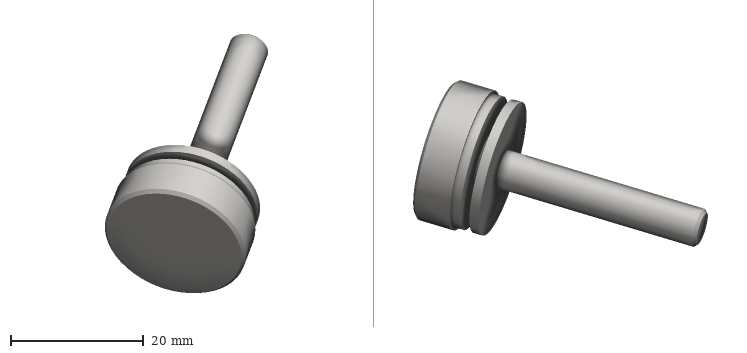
import cadquery as cq

total_length = 42.5
head_diameter = 22.0
head_length = 6.0
edge_chamfer = 0.5

stud_diameter = 6.0

washer_diameter = 21.0
spacer_diameter = 9.5
exposed_stud_length = 32.0
ring_count = 3
ring_thickness = (total_length - head_length - exposed_stud_length) / ring_count

inner_washer_start = head_length
spacer_start = inner_washer_start + ring_thickness
outer_washer_start = spacer_start + ring_thickness


def cylinder_along_y(diameter, start, length):
    """Solid cylinder on the Y axis, running from start toward +Y."""
    plane = cq.Plane(origin=(0, start, 0), xDir=(1, 0, 0), normal=(0, 1, 0))
    return cq.Workplane(plane).circle(diameter / 2).extrude(length)


def make_headed_stud():
    """Round head and its long stud, chamfered at both outer ends."""
    head = cylinder_along_y(head_diameter, 0, head_length)
    head = head.faces("<Y").edges().chamfer(edge_chamfer)
    stud = cylinder_along_y(stud_diameter, head_length, total_length - head_length)
    stud = stud.faces(">Y").edges().chamfer(edge_chamfer)
    return head.union(stud)


def make_ring(diameter, start):
    """Flat ring whose bore fits on the stud."""
    blank = cylinder_along_y(diameter, start, ring_thickness)
    bore = cylinder_along_y(stud_diameter, start, ring_thickness)
    return blank.cut(bore)


def make_washer(start):
    return make_ring(washer_diameter, start)


def make_spacer():
    """Narrow ring that holds the two washers apart."""
    return make_ring(spacer_diameter, spacer_start)


headed_stud = make_headed_stud()
spacer = make_spacer()
washers = [make_washer(start) for start in (inner_washer_start, outer_washer_start)]

result = cq.Compound.makeCompound(
    [headed_stud.val(), spacer.val(), *[washer.val() for washer in washers]]
)